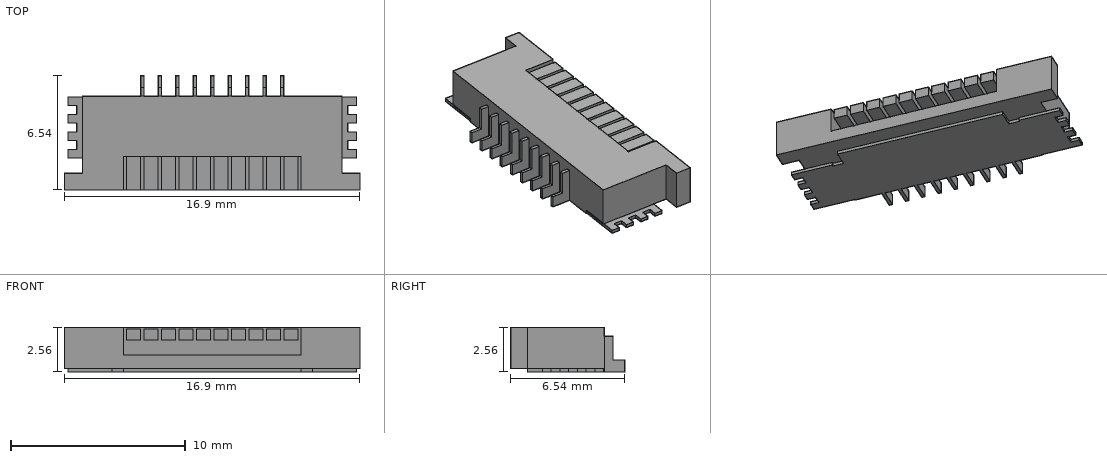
import cadquery as cq


length = 16.92
depth = 6.54
height = 2.56

standoff = 0.2
housing_width = 14.86
ear_depth = 0.96
throat_depth = 1.92
pin_reach = 1.17
front_y = -depth / 2
back_y = depth / 2 - pin_reach
throat_back_y = front_y + throat_depth

opening_width = 10.16
opening_floor_z = 0.98

pitch = 1.0
finger_count = 10
finger_gap = 0.2
finger_width = pitch - finger_gap
finger_height = 0.62
finger_recess = 0.09
finger_top_z = height - finger_recess

pin_count = finger_count - 1
pin_width = 0.2
pin_shoulder_reach = 0.5
pin_shoulder_drop = 0.5
pin_shoulder_z = height - pin_shoulder_drop
pin_foot_height = 0.7

tab_count = 4
tab_width = 0.5
tab_pitch = 1.0
tab_length = 0.5
tab_tip_x = 8.25
tab_setback = 0.05
tab_back_y = back_y - tab_setback
tab_strip_depth = (tab_count - 1) * tab_pitch + tab_width

wide_base_width = 11.48
front_base_width = opening_width


def box(x_min, x_max, y_min, y_max, z_min, z_max):
    size = (x_max - x_min, y_max - y_min, z_max - z_min)
    return cq.Workplane("XY").box(*size, centered=False).translate((x_min, y_min, z_min))


def centered_box(x_center, width, y_min, y_max, z_min, z_max):
    return box(x_center - width / 2, x_center + width / 2, y_min, y_max, z_min, z_max)


def row_positions(count, spacing):
    """X positions of a row centred on X = 0."""
    return [(index - (count - 1) / 2) * spacing for index in range(count)]


def make_housing():
    body = centered_box(0, housing_width, front_y, back_y, standoff, height)
    ears = centered_box(0, length, front_y, front_y + ear_depth, standoff, height)
    opening = centered_box(0, opening_width, front_y, throat_back_y, opening_floor_z, height)
    return body.union(ears).cut(opening)


def make_finger(x_center):
    """Cantilevered finger, rooted in the back wall of the opening."""
    return centered_box(
        x_center, finger_width, front_y, throat_back_y, finger_top_z - finger_height, finger_top_z
    )


def make_pin(x_center):
    """L-shaped pin: an upright shoulder against the housing and a foot on the board."""
    shoulder = centered_box(x_center, pin_width, back_y, back_y + pin_shoulder_reach, 0, pin_shoulder_z)
    foot = centered_box(x_center, pin_width, back_y, back_y + pin_reach, 0, pin_foot_height)
    return shoulder.union(foot)


def make_base():
    wide_plate = centered_box(0, wide_base_width, throat_back_y, back_y, 0, standoff)
    front_plate = centered_box(0, front_base_width, front_y + ear_depth, back_y, 0, standoff)
    return wide_plate.union(front_plate)


def make_tab_strip():
    """Comb-shaped solder strip at the +X end, running in to the wide base plate."""
    strip_front_y = tab_back_y - tab_strip_depth
    strip = box(wide_base_width / 2, tab_tip_x, strip_front_y, tab_back_y, 0, standoff)
    for index in range(tab_count - 1):
        notch_front_y = strip_front_y + index * tab_pitch + tab_width
        notch_back_y = strip_front_y + (index + 1) * tab_pitch
        notch = box(tab_tip_x - tab_length, tab_tip_x, notch_front_y, notch_back_y, 0, standoff)
        strip = strip.cut(notch)
    return strip


result = make_housing().union(make_base())

for finger_x in row_positions(finger_count, pitch):
    result = result.union(make_finger(finger_x))

for pin_x in row_positions(pin_count, pitch):
    result = result.union(make_pin(pin_x))

tab_strip = make_tab_strip()
result = result.union(tab_strip).union(tab_strip.mirror("YZ"))